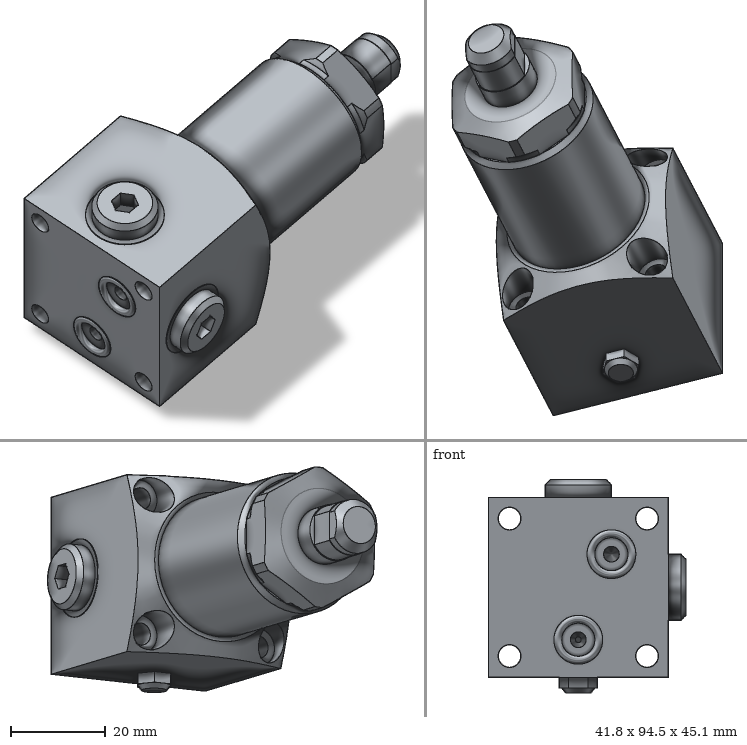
import cadquery as cq
import math


TOTAL_LENGTH = 94.45

BLOCK_SIDE = 38.0
BLOCK_LENGTH = 37.1
BLOCK_CONE_RADIUS = 16.0
BLOCK_CONE_ANGLE = 30

BOLT_SPACING = 29.0
BOLT_HOLE_DIAMETER = 4.7
BOLT_HEAD_DIAMETER = 7.9
BOLT_HEAD_DEPTH = 8.0

PORT_CENTERS = [(7.0, 7.0), (0, -11.05)]
PORT_DIAMETER = 3.3
PORT_DEPTH = 14.2
DRILL_POINT_ANGLE = 118
PILOT_DIAMETER = 1.2
PILOT_DEPTH = 17
RING_RADIUS = 4.3
RING_THICKNESS = 1.7
RING_PROTRUSION = 0.4
RING_EMBED = 0.1
RING_RECESS_DIAMETER = 10.3

FITTING_Y = 10.6
PLUG_RADIUS = 7.0
PLUG_HEIGHT = 3.8
PLUG_CHAMFER = 1.1
SPOT_FACE_RADIUS = 8.3
SPOT_FACE_DEPTH = 0.2
SOCKET_ACROSS_FLATS = 5.0
SOCKET_DEPTH = 3.8
BOLT_HEX_ACROSS_FLATS = 7.0
BOLT_HEX_HEIGHT = 2.3
BOLT_TIP_RADIUS = 2.6
BOLT_HEIGHT = 3.3

BODY_RADIUS = 15.0
BODY_END = 70.4
BODY_CHAMFER = 1.1

NUT_END = 79.1
NUT_ACROSS_FLATS = 26.9
NUT_CORNER_RADIUS = BODY_RADIUS
NUT_FACE_RADIUS = 10.2
NUT_CHAMFER_DEPTH = 1.4
NUT_HUB_RADIUS = 14.0
NUT_HUB_LENGTH = 1.4
NUT_UNDERCUT_LENGTH = 1.0

SPINDLE_END = TOTAL_LENGTH - RING_PROTRUSION
COLLAR_RADIUS = 6.0
COLLAR_END = 84.0
SHANK_RADIUS = 5.9
TIP_RADIUS = 5.8
TIP_CHAMFER = 1.8
TIP_START = 90.1
SHANK_FLATS = 9.9
TIP_FLATS = 10.0


def hex_diameter(across_flats):
    """Corner-to-corner size of a hexagon."""
    return across_flats / math.cos(math.pi / 6)


def cross_section(y):
    """Workplane across the main axis: local x is Z, local y is X, normal is +Y."""
    return cq.Workplane("ZX").workplane(offset=y)


def revolve_profile(points):
    """Turn a closed (radius, y) outline about the main axis."""
    return cq.Workplane("XY").polyline(points).close().revolve(360, (0, 0), (0, 1))


def make_block():
    """Square block whose back corners are turned off by a cone."""
    block = cross_section(0).rect(BLOCK_SIDE, BLOCK_SIDE).extrude(BLOCK_LENGTH)
    outer_radius = BLOCK_SIDE
    cone_drop = (outer_radius - BLOCK_CONE_RADIUS) * math.tan(math.radians(BLOCK_CONE_ANGLE))
    turned = revolve_profile([
        (0, 0),
        (outer_radius, 0),
        (outer_radius, BLOCK_LENGTH - cone_drop),
        (BLOCK_CONE_RADIUS, BLOCK_LENGTH),
        (0, BLOCK_LENGTH),
    ])
    return block.intersect(turned)


def make_bolt_holes():
    holes = cross_section(0).rect(BOLT_SPACING, BOLT_SPACING, forConstruction=True).vertices()
    holes = holes.circle(BOLT_HOLE_DIAMETER / 2).extrude(BLOCK_LENGTH)
    heads = cross_section(BLOCK_LENGTH - BOLT_HEAD_DEPTH)
    heads = heads.rect(BOLT_SPACING, BOLT_SPACING, forConstruction=True).vertices()
    return holes.union(heads.circle(BOLT_HEAD_DIAMETER / 2).extrude(BOLT_HEAD_DEPTH))


def make_port_holes():
    """Ring recesses and blind drilled holes; the lower port has a fine passage beyond it."""
    recess_depth = RING_THICKNESS - RING_PROTRUSION - RING_EMBED
    port_radius = PORT_DIAMETER / 2
    point_length = port_radius / math.tan(math.radians(DRILL_POINT_ANGLE / 2))
    points = [(z, x) for x, z in PORT_CENTERS]
    cuts = cross_section(0).pushPoints(points).circle(RING_RECESS_DIAMETER / 2).extrude(recess_depth)
    cuts = cuts.union(cross_section(0).pushPoints(points).circle(port_radius).extrude(PORT_DEPTH))
    for x, z in PORT_CENTERS:
        tip = cq.Solid.makeCone(
            port_radius, 0, point_length, cq.Vector(x, PORT_DEPTH, z), cq.Vector(0, 1, 0)
        )
        cuts = cuts.union(cq.Workplane(tip))
    pilot = cross_section(0).pushPoints(points[1:]).circle(PILOT_DIAMETER / 2).extrude(PILOT_DEPTH)
    return cuts.union(pilot)


def make_seal_ring(x, z):
    tube_radius = RING_THICKNESS / 2
    center = cq.Vector(x, tube_radius - RING_PROTRUSION, z)
    return cq.Workplane(cq.Solid.makeTorus(RING_RADIUS, tube_radius, center, cq.Vector(0, 1, 0)))


def plug_seat(direction):
    """Bottom centre of the spot face on the block side facing the given direction."""
    return direction * (BLOCK_SIDE / 2 - SPOT_FACE_DEPTH) + cq.Vector(0, FITTING_Y, 0)


def make_spot_face(direction):
    seat = plug_seat(direction)
    return cq.Workplane(cq.Solid.makeCylinder(SPOT_FACE_RADIUS, SPOT_FACE_DEPTH, seat, direction))


def make_plug(direction):
    """Round screw plug with a hexagon socket, standing on its spot face."""
    seat = plug_seat(direction)
    straight = SPOT_FACE_DEPTH + PLUG_HEIGHT - PLUG_CHAMFER
    shoulder = seat + direction * straight
    plug = cq.Workplane(cq.Solid.makeCylinder(PLUG_RADIUS, straight, seat, direction))
    rim = cq.Solid.makeCone(
        PLUG_RADIUS, PLUG_RADIUS - PLUG_CHAMFER, PLUG_CHAMFER, shoulder, direction
    )
    top = cq.Plane(shoulder + direction * PLUG_CHAMFER, (0, 1, 0), direction)
    socket = cq.Workplane(top).polygon(6, hex_diameter(SOCKET_ACROSS_FLATS)).extrude(-SOCKET_DEPTH)
    return plug.union(cq.Workplane(rim)).cut(socket)


def make_bottom_bolt():
    down = cq.Vector(0, 0, -1)
    seat = cq.Vector(0, FITTING_Y, -BLOCK_SIDE / 2)
    plane = cq.Plane(seat, (1, 0, 0), down)
    hexagon = cq.Workplane(plane).polygon(6, hex_diameter(BOLT_HEX_ACROSS_FLATS))
    end = cq.Solid.makeCone(
        BOLT_HEX_ACROSS_FLATS / 2,
        BOLT_TIP_RADIUS,
        BOLT_HEIGHT - BOLT_HEX_HEIGHT,
        seat + down * BOLT_HEX_HEIGHT,
        down,
    )
    return hexagon.extrude(BOLT_HEX_HEIGHT).union(cq.Workplane(end))


def make_body():
    return revolve_profile([
        (0, BLOCK_LENGTH),
        (BODY_RADIUS, BLOCK_LENGTH),
        (BODY_RADIUS, BODY_END - BODY_CHAMFER),
        (BODY_RADIUS - BODY_CHAMFER, BODY_END),
        (0, BODY_END),
    ])


def make_nut():
    hub_end = BODY_END + NUT_HUB_LENGTH
    turned = revolve_profile([
        (0, BODY_END),
        (NUT_HUB_RADIUS, BODY_END),
        (NUT_HUB_RADIUS, hub_end),
        (NUT_CORNER_RADIUS, hub_end + NUT_UNDERCUT_LENGTH),
        (NUT_CORNER_RADIUS, NUT_END - NUT_CHAMFER_DEPTH),
        (NUT_FACE_RADIUS, NUT_END),
        (0, NUT_END),
    ])
    hexagon = cross_section(BODY_END).polygon(6, hex_diameter(NUT_ACROSS_FLATS))
    return hexagon.extrude(NUT_END - BODY_END).intersect(turned)


def make_spindle():
    """Round collar, then a shank and chamfered tip with a flat on each X side."""
    collar = cross_section(NUT_END).circle(COLLAR_RADIUS).extrude(COLLAR_END - NUT_END)
    tip = revolve_profile([
        (0, COLLAR_END),
        (SHANK_RADIUS, COLLAR_END),
        (SHANK_RADIUS, TIP_START),
        (TIP_RADIUS, TIP_START),
        (TIP_RADIUS, SPINDLE_END - TIP_CHAMFER),
        (TIP_RADIUS - TIP_CHAMFER, SPINDLE_END),
        (0, SPINDLE_END),
    ])
    envelope = cross_section(COLLAR_END).rect(2 * SHANK_RADIUS, SHANK_FLATS)
    envelope = envelope.extrude(TIP_START - COLLAR_END)
    wide_end = cross_section(TIP_START).rect(2 * SHANK_RADIUS, TIP_FLATS)
    envelope = envelope.union(wide_end.extrude(SPINDLE_END - TIP_START))
    return collar.union(tip.intersect(envelope))


result = make_block().union(make_body()).union(make_nut()).union(make_spindle())
result = result.cut(make_bolt_holes()).cut(make_port_holes())
for port_x, port_z in PORT_CENTERS:
    result = result.union(make_seal_ring(port_x, port_z))
for plug_direction in [cq.Vector(0, 0, 1), cq.Vector(1, 0, 0)]:
    result = result.cut(make_spot_face(plug_direction)).union(make_plug(plug_direction))
result = result.union(make_bottom_bolt())